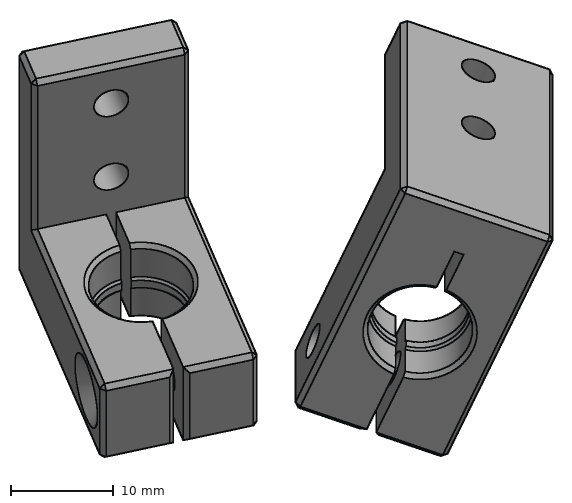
import cadquery as cq

length = 28.0
width = 16.0
height = 30.0
wall_thickness = 5.0
base_height = height / 3
edge_chamfer = 0.5
mid_y = width / 2

bore_x = 15.0
bore_diameter = 10.2
lip_diameter = 9.7
lip_height = 1.0
bore_chamfer = 0.45

slot_width = 1.0
screw_diameter = 3.5
clamp_screw_x = length - wall_thickness
clamp_screw_z = base_height / 2
countersink_diameter = 7.5
countersink_angle = 90.0

mount_heights = (height / 2, height * 5 / 6)


def make_body():
    """L-shaped block with every convex outer edge chamfered."""
    body = (
        cq.Workplane("XZ")
        .polyline([
            (0, 0),
            (length, 0),
            (length, base_height),
            (wall_thickness, base_height),
            (wall_thickness, height),
            (0, height),
        ])
        .close()
        .extrude(-width)
    )
    inner_corner = cq.selectors.NearestToPointSelector((wall_thickness, mid_y, base_height))
    outer_edges = cq.selectors.SubtractSelector(cq.StringSyntaxSelector("#X or #Y or #Z"), inner_corner)
    return body.edges(outer_edges).chamfer(edge_chamfer)


def make_slot():
    """Full-height slot from the wall to the free end, flared at its mouth."""
    half_slot = slot_width / 2
    half_mouth = half_slot + edge_chamfer
    flare_start = length - edge_chamfer
    return (
        cq.Workplane("XY")
        .polyline([
            (wall_thickness, mid_y - half_slot),
            (flare_start, mid_y - half_slot),
            (length, mid_y - half_mouth),
            (length, mid_y + half_mouth),
            (flare_start, mid_y + half_slot),
            (wall_thickness, mid_y + half_slot),
        ])
        .close()
        .extrude(base_height)
    )


def make_bore():
    """Revolved bore: chamfered at both ends and reduced at the central lip, with 45-degree bevels."""
    bore_radius = bore_diameter / 2
    lip_radius = lip_diameter / 2
    mouth_radius = bore_radius + bore_chamfer
    lip_bottom = (base_height - lip_height) / 2
    lip_top = lip_bottom + lip_height
    lip_bevel = bore_radius - lip_radius
    return (
        cq.Workplane("XZ")
        .polyline([
            (0, 0),
            (mouth_radius, 0),
            (bore_radius, bore_chamfer),
            (bore_radius, lip_bottom - lip_bevel),
            (lip_radius, lip_bottom),
            (lip_radius, lip_top),
            (bore_radius, lip_top + lip_bevel),
            (bore_radius, base_height - bore_chamfer),
            (mouth_radius, base_height),
            (0, base_height),
        ])
        .close()
        .revolve(360, (0, 0), (0, 1))
        .translate((bore_x, mid_y, 0))
    )


def drill_clamp_screw(body):
    """Through hole along Y, countersunk on the -Y side."""
    return (
        body.copyWorkplane(cq.Workplane("XZ"))
        .center(clamp_screw_x, clamp_screw_z)
        .cskHole(screw_diameter, countersink_diameter, countersink_angle)
    )


def make_mount_holes():
    """Vertical row of plain holes through the wall along X."""
    return (
        cq.Workplane("YZ")
        .pushPoints([(mid_y, z) for z in mount_heights])
        .circle(screw_diameter / 2)
        .extrude(wall_thickness)
    )


result = make_body().cut(make_slot()).cut(make_bore())
result = drill_clamp_screw(result).cut(make_mount_holes())